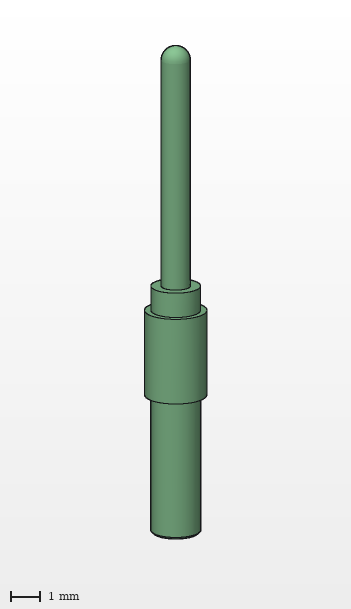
import cadquery as cq

total_length = 17.1
tail_diameter = 1.7
tail_length = 4.84
tail_edge_chamfer = 0.09
body_diameter = 2.1
body_length = 2.98
collar_diameter = 1.68
collar_length = 0.85
pin_diameter = 1.0

body_top = tail_length + body_length
collar_top = body_top + collar_length
pin_radius = pin_diameter / 2
pin_length = total_length - collar_top


def cylinder(diameter, length, base_height):
    """Upright round section on the Z axis, starting at base_height."""
    return cq.Workplane("XY").workplane(offset=base_height).circle(diameter / 2).extrude(length)


tail = cylinder(tail_diameter, tail_length, 0).faces("<Z").edges().chamfer(tail_edge_chamfer)

body = cylinder(body_diameter, body_length, tail_length)
collar = cylinder(collar_diameter, collar_length, body_top)

shank = cylinder(pin_diameter, pin_length - pin_radius, collar_top)
tip = cq.Workplane("XY").sphere(pin_radius).translate((0, 0, total_length - pin_radius))

result = tail.union(body).union(collar).union(shank).union(tip)

result = result.translate((0, 0, -total_length / 2))